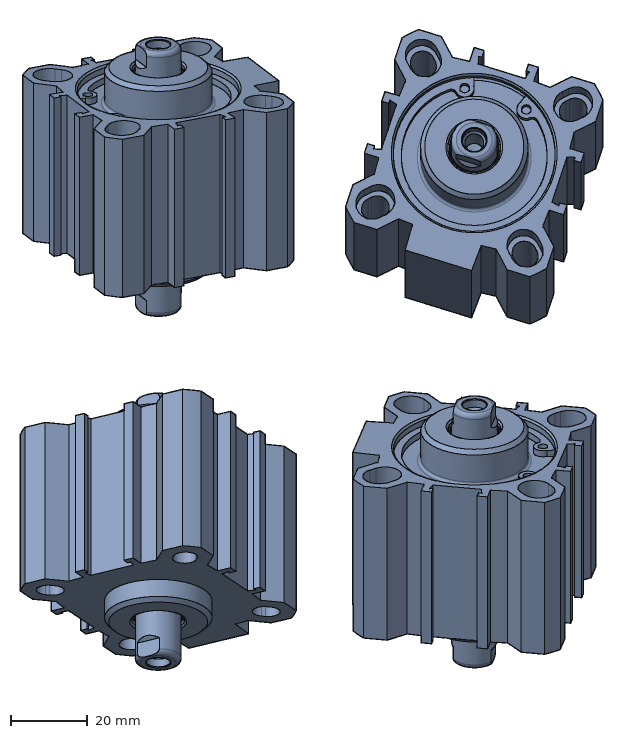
import cadquery as cq
import math


overall_length = 74.5
tube_length = 44.5
collar_projection = 5.95
upper_rod_projection = 6.5
rod_top = tube_length + collar_projection + upper_rod_projection
rod_bottom = rod_top - overall_length

half_width = 27.5
corner_radius = 36.5
corner_inner = 17.8
valley_offset = 13.3
valley_depth = half_width - (corner_inner - valley_offset)
wall_offset = 23.3
rib_outer = 8.8
rib_tip = 27.3
lip_inner = 6.0
lip_base = 25.3
undercut_top = 6.9
undercut_foot = 6.4
block_top = 30.55
block_half_top = 9.1
block_half_foot = 9.4

cylinder_bore = 40.0
cover_seat = 41.7
ring_bore = 42.2
ring_groove = 44.7
mouth_chamfer = 0.5

mount_offset = 20.5
mount_bore = 6.25
mount_stretch = 1.05
counterbore = 8.6
counterbore_stretch = 1.8
counterbore_depth = 5.95

ring_depth = 2.15
ring_thickness = 1.8
ring_inner = 38.0
lug_radius = 2.45
lug_pitch_radius = 18.4
lug_half_angle = 27.6
lug_fillet = 1.5
lug_hole = 2.5
ring_turn = -2.0
ring_bottom_z = tube_length - ring_depth - ring_thickness

collar_diameter = 28.0
collar_chamfer = 1.1
flange_thickness = 8.95
flange_fillet = 0.8
rod_clearance = 12.5
wiper_diameter = 13.7
wiper_depth = 1.5
wiper_chamfer = 0.5
rod_clearance_chamfer = 0.2
flange_depth = tube_length - ring_bottom_z
end_wall = flange_depth
collar_height = flange_depth + collar_projection

rod_diameter = 12.0
rod_edge_radius = 1.35
across_flats = 10.0
flat_length = 4.5
thread_relief = 6.25
thread_relief_depth = 2.4
thread_mouth_chamfer = 0.2
thread_bore = 4.9
thread_depth = 11.9
drill_half_angle = 80.0


def disc(diameter, bottom, top):
    return cq.Workplane("XY").workplane(offset=bottom).circle(diameter / 2).extrude(top - bottom)


def revolved(profile):
    """Turn a closed list of (radius, z) points about the Z axis."""
    return cq.Workplane("XZ").polyline(profile).close().revolve(360, (0, 0, 0), (0, 1, 0))


def bore_mouth(diameter, chamfer, top):
    """Cutter for the 45 degree chamfer at the upper end of a bore."""
    radius = diameter / 2
    return revolved([(0, top - chamfer), (radius, top - chamfer), (radius + chamfer, top), (0, top)])


def rib_side():
    """Half of a ribbed side, from the corner valley to the floor between the ribs."""
    return [
        (valley_offset, valley_depth),
        (rib_outer, wall_offset),
        (rib_outer, rib_tip),
        (lip_inner, rib_tip),
        (lip_inner, lip_base),
        (undercut_top, lip_base),
        (undercut_foot, wall_offset),
    ]


def block_side():
    """Half of the port block side, from the corner valley to the block's top."""
    return [
        (valley_offset, valley_depth),
        (block_half_foot, wall_offset),
        (block_half_top, block_top),
    ]


def turned(point, quarter_turns):
    x, y = point
    for _ in range(quarter_turns):
        x, y = -y, x
    return x, y


def tube_outline():
    """Four sides, anticlockwise from +Y, joined by turned corners."""
    corner_end = math.sqrt(corner_radius**2 - half_width**2)
    corner_middle = corner_radius / math.sqrt(2)
    outline = cq.Workplane("XY").moveTo(corner_inner, half_width)
    for quarter in range(4):
        half_side = block_side() if quarter == 0 else rib_side()
        mirrored_half = [(-x, y) for x, y in reversed(half_side)]
        for point in half_side + mirrored_half + [(-corner_inner, half_width)]:
            outline = outline.lineTo(*turned(point, quarter))
        outline = outline.lineTo(*turned((-corner_end, half_width), quarter))
        outline = outline.threePointArc(
            turned((-corner_middle, corner_middle), quarter),
            turned((-half_width, corner_end), quarter),
        )
        if quarter < 3:
            outline = outline.lineTo(*turned((-half_width, corner_inner), quarter))
    return outline.close()


def mount_slots(diameter, stretch, bottom):
    """Four slots stretched toward the axis, open at the tube's upper end."""
    slots = cq.Workplane("XY")
    for quarter in range(4):
        slot = (
            cq.Workplane("XY")
            .workplane(offset=bottom)
            .center(math.sqrt(2) * mount_offset, 0)
            .slot2D(diameter + stretch, diameter)
            .extrude(tube_length - bottom)
        )
        slots = slots.add(slot.rotate((0, 0, 0), (0, 0, 1), 45 + 90 * quarter))
    return slots.combine()


def make_tube():
    seat_bottom = ring_bottom_z - flange_thickness
    return (
        tube_outline()
        .extrude(tube_length)
        .cut(disc(collar_diameter, 0, end_wall))
        .cut(disc(cylinder_bore, end_wall, tube_length))
        .cut(disc(cover_seat, seat_bottom, tube_length))
        .cut(disc(ring_bore, ring_bottom_z, tube_length))
        .cut(disc(ring_groove, ring_bottom_z, ring_bottom_z + ring_thickness))
        .cut(bore_mouth(ring_bore, mouth_chamfer, tube_length))
        .cut(mount_slots(mount_bore, mount_stretch, 0))
        .cut(mount_slots(counterbore, counterbore_stretch, tube_length - counterbore_depth))
    )


def make_cover(flange_diameter, base_fillet):
    """Cover pointing up, with the outer face of its flange at z = 0."""
    cover = disc(flange_diameter, -flange_thickness, 0).union(disc(collar_diameter, 0, collar_height))
    cover = cover.faces(">Z").edges().chamfer(collar_chamfer)
    if base_fillet > 0:
        collar_edges = cover.edges(cq.selectors.RadiusNthSelector(1))
        cover = collar_edges.edges("<Z").fillet(base_fillet)
    wiper_bottom = collar_height - wiper_depth
    return (
        cover
        .cut(disc(rod_diameter, -flange_thickness, 0))
        .cut(disc(rod_clearance, 0, wiper_bottom))
        .cut(disc(wiper_diameter, wiper_bottom, collar_height))
        .cut(bore_mouth(rod_clearance, rod_clearance_chamfer, wiper_bottom))
        .cut(bore_mouth(wiper_diameter, wiper_chamfer, collar_height))
    )


def make_upper_cover():
    return make_cover(cover_seat, flange_fillet).translate((0, 0, ring_bottom_z))


def make_lower_cover():
    """Points down through the end wall, which holds its flange."""
    cover = make_cover(cylinder_bore, 0)
    return cover.rotate((0, 0, 0), (1, 0, 0), 180).translate((0, 0, end_wall))


def from_gap(radius, angle):
    """Point at an angle in degrees from the -Y direction, positive toward +X."""
    return radius * math.sin(math.radians(angle)), -radius * math.cos(math.radians(angle))


def make_ring():
    lug_centres = [from_gap(lug_pitch_radius, side * lug_half_angle) for side in (-1, 1)]
    gap_half_angle = lug_half_angle - math.degrees(math.asin(lug_radius / lug_pitch_radius))
    gap = (
        cq.Workplane("XY")
        .polyline([(0, 0), from_gap(ring_groove, -gap_half_angle), from_gap(ring_groove, gap_half_angle)])
        .close()
        .extrude(ring_thickness)
    )
    ring = disc(ring_groove, 0, ring_thickness).cut(disc(ring_inner, 0, ring_thickness))
    ring = ring.union(cq.Workplane("XY").pushPoints(lug_centres).circle(lug_radius).extrude(ring_thickness))
    ring = ring.cut(gap)
    inner_radius = ring_inner / 2
    crossing_cosine = (inner_radius**2 + lug_pitch_radius**2 - lug_radius**2) / (
        2 * inner_radius * lug_pitch_radius
    )
    crossing_angle = lug_half_angle + math.degrees(math.acos(crossing_cosine))
    for side in (-1, 1):
        root = (*from_gap(inner_radius, side * crossing_angle), ring_thickness / 2)
        ring = ring.edges(cq.selectors.NearestToPointSelector(root)).fillet(lug_fillet)
    ring = ring.cut(cq.Workplane("XY").pushPoints(lug_centres).circle(lug_hole / 2).extrude(ring_thickness))
    return ring.rotate((0, 0, 0), (0, 0, 1), ring_turn).translate((0, 0, ring_bottom_z))


def thread_hole():
    """Relieved blind hole with a drill-point bottom, running down from z = 0."""
    bore = thread_bore / 2
    relief = thread_relief / 2
    tip_depth = thread_depth + bore / math.tan(math.radians(drill_half_angle))
    return revolved([
        (0, 0),
        (relief + thread_mouth_chamfer, 0),
        (relief, -thread_mouth_chamfer),
        (relief, -thread_relief_depth),
        (bore, -thread_relief_depth - (relief - bore)),
        (bore, -thread_depth),
        (0, -tip_depth),
    ])


def flat_cutter():
    """Clears one wrench flat on the +Y side, running down from z = 0 to a 45 degree shoulder."""
    flat = across_flats / 2
    reach = rod_diameter - flat
    return (
        cq.Workplane("YZ")
        .polyline([(flat, 0), (flat, -flat_length), (flat + reach, -flat_length - reach), (flat + reach, 0)])
        .close()
        .extrude(rod_diameter / 2, both=True)
    )


def make_rod():
    rod = disc(rod_diameter, rod_bottom, rod_top).edges("%CIRCLE").fillet(rod_edge_radius)
    end_cut = thread_hole().union(flat_cutter()).union(flat_cutter().mirror("XZ"))
    upper_cut = end_cut.translate((0, 0, rod_top))
    lower_cut = end_cut.mirror("XY").translate((0, 0, rod_bottom))
    return rod.cut(upper_cut).cut(lower_cut)


tube = make_tube()
upper_cover = make_upper_cover()
lower_cover = make_lower_cover()
ring = make_ring()
rod = make_rod()

result = cq.Compound.makeCompound(
    [tube.val(), upper_cover.val(), lower_cover.val(), ring.val(), rod.val()]
)